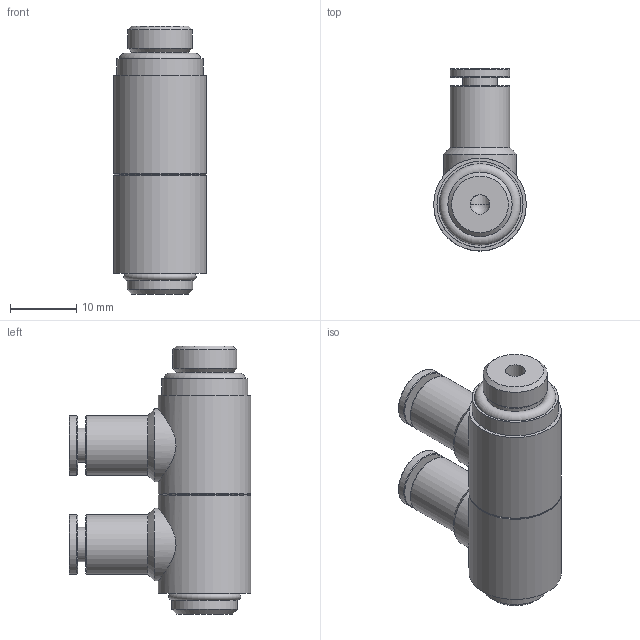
import cadquery as cq


total_height = 40.5
port_reach = 20.5
module_height = 15.0
edge_break = 0.1

body_radius = 14.0 / 2
body_bottom = 3.1
body_joint = 18.05
body_top = body_joint + module_height

spigot_radius = 9.9 / 2
spigot_chamfer = 0.7
lower_ring_section = 1.0

collar_radius = 13.0 / 2
collar_top = 35.55
upper_ring_radius = 6.15
upper_ring_rise = 0.84
plug_radius = 9.73 / 2
thread_root_radius = 8.57 / 2
plug_bottom_rim = 37.1
plug_chamfer = plug_radius - thread_root_radius

lower_port_height = 10.5
port_heights = [lower_port_height, lower_port_height + module_height]
boss_radius = 11.0 / 2
boss_end = 7.6
barrel_radius = 9.0 / 2
barrel_end = 17.95
stem_radius = 5.2 / 2
flange_thickness = 1.3

bore_radius = 3.0 / 2


def make_body():
    """Turned body: spigot, lower ring, two modules, collar, upper ring and plug in one profile."""
    ring_bulge = lower_ring_section / 2
    ring_middle = (thread_root_radius + upper_ring_radius) / 2
    profile = (
        cq.Workplane("XZ")
        .moveTo(0, 0)
        .lineTo(spigot_radius - spigot_chamfer, 0)
        .lineTo(spigot_radius, spigot_chamfer)
        .lineTo(spigot_radius, body_bottom - lower_ring_section)
        .threePointArc(
            (spigot_radius + ring_bulge, body_bottom - ring_bulge),
            (spigot_radius, body_bottom),
        )
        .lineTo(body_radius, body_bottom)
        .lineTo(body_radius, body_joint - edge_break)
        .lineTo(body_radius - edge_break, body_joint)
        .lineTo(body_radius, body_joint + edge_break)
        .lineTo(body_radius, body_top)
        .lineTo(collar_radius, body_top)
        .lineTo(collar_radius, collar_top)
        .lineTo(upper_ring_radius, collar_top)
        .threePointArc((ring_middle, collar_top + upper_ring_rise), (thread_root_radius, collar_top))
        .lineTo(thread_root_radius, plug_bottom_rim - plug_chamfer)
        .lineTo(plug_radius, plug_bottom_rim)
        .lineTo(plug_radius, total_height - plug_chamfer)
        .lineTo(thread_root_radius, total_height)
        .lineTo(0, total_height)
        .close()
    )
    return profile.revolve(360, (0, 0), (0, 1))


def make_port(height):
    """Port turned about a line parallel to Y: boss, cone, barrel, stem and release flange."""
    cone_end = boss_end + boss_radius - barrel_radius
    flange_start = port_reach - flange_thickness
    profile = (
        cq.Workplane("XY")
        .moveTo(0, 0)
        .lineTo(boss_radius, 0)
        .lineTo(boss_radius, boss_end)
        .lineTo(barrel_radius, cone_end)
        .lineTo(barrel_radius, barrel_end - edge_break)
        .lineTo(barrel_radius - edge_break, barrel_end)
        .lineTo(stem_radius, barrel_end)
        .lineTo(stem_radius, flange_start)
        .lineTo(barrel_radius - edge_break, flange_start)
        .lineTo(barrel_radius, flange_start + edge_break)
        .lineTo(barrel_radius, port_reach - edge_break)
        .lineTo(barrel_radius - edge_break, port_reach)
        .lineTo(0, port_reach)
        .close()
    )
    return profile.revolve(360, (0, 0), (0, 1)).translate((0, 0, height))


def make_port_bore(height):
    """Outlet along +Y that starts with a round elbow on the body axis."""
    elbow = cq.Workplane("XY").sphere(bore_radius)
    outlet = cq.Workplane("XZ").circle(bore_radius).extrude(-port_reach)
    return elbow.union(outlet).translate((0, 0, height))


def make_main_bore():
    """Inlet from the plug's top face down to the axis of the lower port."""
    return (
        cq.Workplane("XY")
        .workplane(offset=lower_port_height)
        .circle(bore_radius)
        .extrude(total_height - lower_port_height)
    )


result = make_body()
for port_height in port_heights:
    result = result.union(make_port(port_height))

result = result.cut(make_main_bore())
for port_height in port_heights:
    result = result.cut(make_port_bore(port_height))